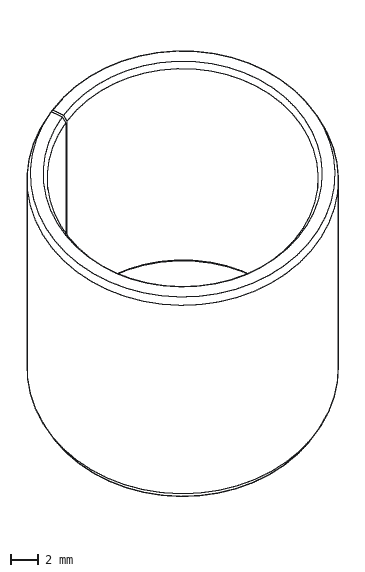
import cadquery as cq
import math

outer_diameter = 23.0
bore_diameter = 20.0
length = 25.0

outer_chamfer_length = 0.7
outer_chamfer_angle = 20.0
outer_chamfer_depth = outer_chamfer_length * math.tan(math.radians(outer_chamfer_angle))
bore_chamfer_depth = 0.3
bore_chamfer_angle = 30.0
bore_chamfer_length = bore_chamfer_depth / math.tan(math.radians(bore_chamfer_angle))

seam_angle = 1.0
wrap_angle = 360.0 - seam_angle

outer_radius = outer_diameter / 2
bore_radius = bore_diameter / 2
half_length = length / 2


def make_wall_section():
    """Chamfered wall section in the XZ plane, on the -X side of the axis."""
    end_outer_radius = outer_radius - outer_chamfer_depth
    end_bore_radius = bore_radius + bore_chamfer_depth
    outer_edge_z = half_length - outer_chamfer_length
    bore_edge_z = half_length - bore_chamfer_length
    section = [
        (-bore_radius, -bore_edge_z),
        (-end_bore_radius, -half_length),
        (-end_outer_radius, -half_length),
        (-outer_radius, -outer_edge_z),
        (-outer_radius, outer_edge_z),
        (-end_outer_radius, half_length),
        (-end_bore_radius, half_length),
        (-bore_radius, bore_edge_z),
    ]
    return cq.Workplane("XZ").polyline(section).close()


def make_split_sleeve():
    """Wrap the wall counter-clockwise about +Z, stopping short to leave the seam."""
    return make_wall_section().revolve(wrap_angle, (0, 0, 0), (0, 1, 0))


result = make_split_sleeve()